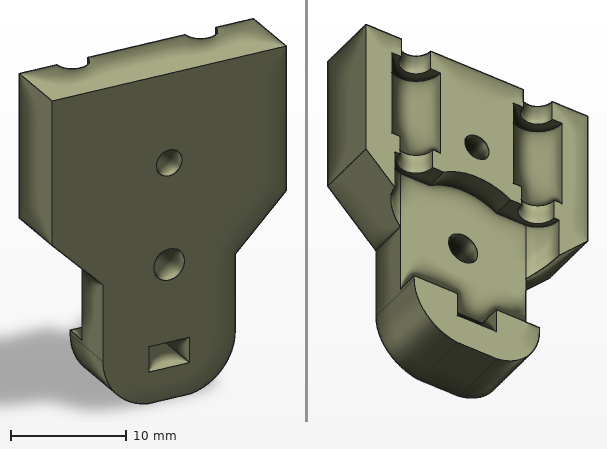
import cadquery as cq
import math

thickness = 6.1
height = 31.5

body_half_width = 11.5
tongue_half_width = 6.5
body_side_length = 14.0
chamfer_size = body_half_width - tongue_half_width
tongue_corner_height = 5.1
tongue_corner_width = 4.4

groove_offset = 6.3
pocket_depth = 2.2
groove_steps = [(3.0, 2.0), (5.05, 9.0), (3.4, 2.0)]
groove_exit_diameter = 2 * pocket_depth
groove_steps_length = sum(length for _, length in groove_steps)

pocket_top = -groove_steps_length
pocket_bottom = -26.0
relief_radius = tongue_half_width

upper_hole_diameter = 2.5
upper_hole_z = -8.65
lower_hole_diameter = 3.0
lower_hole_z = -18.5
slot_width = 4.0
slot_height = 2.45


def make_plate():
    """Extrude the outline: wide body, 45 degree shoulders and a tongue with rounded corners."""
    shoulder_bottom = -body_side_length - chamfer_size
    corner_start = -height + tongue_corner_height
    flat_half_width = tongue_half_width - tongue_corner_width
    radius = (tongue_corner_height**2 + tongue_corner_width**2) / (2 * tongue_corner_width)
    half_sweep = math.asin(tongue_corner_height / radius) / 2
    mid_y = tongue_half_width - radius * (1 - math.cos(half_sweep))
    mid_z = corner_start - radius * math.sin(half_sweep)
    return (
        cq.Workplane("YZ")
        .moveTo(-body_half_width, 0)
        .lineTo(body_half_width, 0)
        .lineTo(body_half_width, -body_side_length)
        .lineTo(tongue_half_width, shoulder_bottom)
        .lineTo(tongue_half_width, corner_start)
        .threePointArc((mid_y, mid_z), (flat_half_width, -height))
        .lineTo(-flat_half_width, -height)
        .threePointArc((-mid_y, mid_z), (-tongue_half_width, corner_start))
        .lineTo(-tongue_half_width, shoulder_bottom)
        .lineTo(-body_half_width, -body_side_length)
        .close()
        .extrude(thickness)
    )


def vertical_cylinder(y, top, diameter, length):
    """Cylinder with its axis on the grooved face, running down from the given height."""
    return cq.Workplane("XY", origin=(0, y, top)).circle(diameter / 2).extrude(-length)


def make_groove(y):
    """Stepped groove from the top edge, running out through the shoulder."""
    exit_length = pocket_top - pocket_bottom
    groove = vertical_cylinder(y, pocket_top, groove_exit_diameter, exit_length)
    top = 0
    for diameter, length in groove_steps:
        groove = groove.union(vertical_cylinder(y, top, diameter, length))
        top -= length
    return groove


def through_round(z, diameter, depth):
    """Cylinder along X on the centre line, starting at the grooved face."""
    return cq.Workplane("YZ").center(0, z).circle(diameter / 2).extrude(depth)


def make_pocket():
    """Recess across the tongue, plus the relief concentric with the lower hole."""
    recess = (
        cq.Workplane("YZ")
        .center(0, (pocket_top + pocket_bottom) / 2)
        .rect(2 * tongue_half_width, pocket_top - pocket_bottom)
        .extrude(pocket_depth)
    )
    relief = through_round(lower_hole_z, 2 * relief_radius, pocket_depth)
    return recess.union(relief)


def make_slot():
    """Rectangular opening through the tongue, directly below the pocket."""
    return (
        cq.Workplane("YZ")
        .center(0, pocket_bottom - slot_height / 2)
        .rect(slot_width, slot_height)
        .extrude(thickness)
    )


result = make_plate().cut(make_pocket())
for side in (-1, 1):
    result = result.cut(make_groove(side * groove_offset))
result = result.cut(through_round(upper_hole_z, upper_hole_diameter, thickness))
result = result.cut(through_round(lower_hole_z, lower_hole_diameter, thickness))
result = result.cut(make_slot())